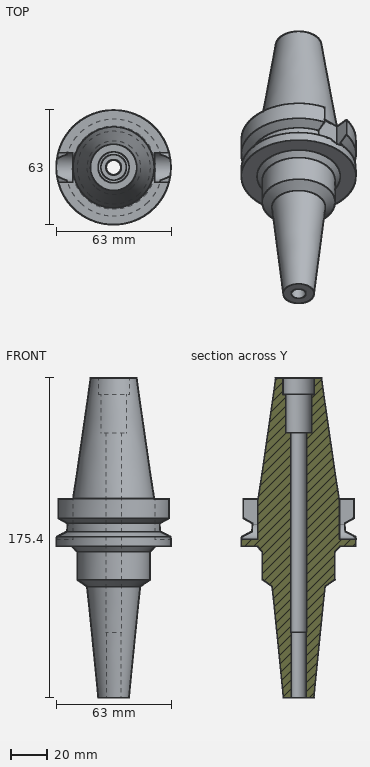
import cadquery as cq
import math


GAUGE_DIAMETER = 44.45
TAPER_LENGTH = 65.4
TAPER_RATIO = 7 / 24
TAPER_END_DIAMETER = GAUGE_DIAMETER - TAPER_RATIO * TAPER_LENGTH

FLANGE_DIAMETER = 63.0
FLANGE_TOP_Z = -1.0
FLANGE_BOTTOM_Z = -27.0

GROOVE_CENTRE_Z = -16.6
GROOVE_FLOOR_DIAMETER = 53.3
GROOVE_FLOOR_WIDTH = 4.5
GROOVE_FLANK_ANGLE = 30.0

SLOT_WIDTH = 16.1
SLOT_FLOOR_X = 22.5
SLOT_BOTTOM_Z = -23.0

COLLAR_DIAMETER = 40.0
COLLAR_ROOT_DIAMETER = 45.7
COLLAR_ROOT_CONE_HEIGHT = 3.0
COLLAR_BOTTOM_Z = -45.3
COLLAR_END_CONE_HEIGHT = 3.7

NOSE_ROOT_DIAMETER = 29.4
NOSE_TIP_DIAMETER = 17.0
NOSE_TIP_Z = -110.0

PILOT_BORE_DIAMETER = 17.0
PILOT_BORE_DEPTH = 9.0
THREAD_BORE_DIAMETER = 14.0
THREAD_BORE_DEPTH = 30.0
RELIEF_BORE_DIAMETER = 8.5
SHANK_BORE_DIAMETER = 8.0
SHANK_BORE_LENGTH = 36.0


def make_body():
    """Revolve the outer half-profile about the Z axis."""
    flange_radius = FLANGE_DIAMETER / 2
    groove_radius = GROOVE_FLOOR_DIAMETER / 2
    groove_depth = flange_radius - groove_radius
    floor_half_width = GROOVE_FLOOR_WIDTH / 2
    flank_height = groove_depth * math.tan(math.radians(GROOVE_FLANK_ANGLE))
    mouth_half_width = floor_half_width + flank_height
    collar_radius = COLLAR_DIAMETER / 2

    profile = [
        (0, TAPER_LENGTH),
        (TAPER_END_DIAMETER / 2, TAPER_LENGTH),
        (GAUGE_DIAMETER / 2, 0),
        (GAUGE_DIAMETER / 2, FLANGE_TOP_Z),
        (flange_radius, FLANGE_TOP_Z),
        (flange_radius, GROOVE_CENTRE_Z + mouth_half_width),
        (groove_radius, GROOVE_CENTRE_Z + floor_half_width),
        (groove_radius, GROOVE_CENTRE_Z - floor_half_width),
        (flange_radius, GROOVE_CENTRE_Z - mouth_half_width),
        (flange_radius, FLANGE_BOTTOM_Z),
        (COLLAR_ROOT_DIAMETER / 2, FLANGE_BOTTOM_Z),
        (collar_radius, FLANGE_BOTTOM_Z - COLLAR_ROOT_CONE_HEIGHT),
        (collar_radius, COLLAR_BOTTOM_Z),
        (NOSE_ROOT_DIAMETER / 2, COLLAR_BOTTOM_Z - COLLAR_END_CONE_HEIGHT),
        (NOSE_TIP_DIAMETER / 2, NOSE_TIP_Z),
        (0, NOSE_TIP_Z),
    ]
    return cq.Workplane("YZ").polyline(profile).close().revolve(360, (0, 0), (0, 1))


def make_drive_slot(side):
    """Round-bottomed slot cutter, open upward; side is -1 for -X or +1 for +X."""
    half_width = SLOT_WIDTH / 2
    arc_centre_z = SLOT_BOTTOM_Z + half_width
    cut_depth = FLANGE_DIAMETER / 2 - SLOT_FLOOR_X
    return (
        cq.Workplane("YZ", origin=(side * SLOT_FLOOR_X, 0, 0))
        .moveTo(-half_width, FLANGE_TOP_Z)
        .lineTo(-half_width, arc_centre_z)
        .threePointArc((0, SLOT_BOTTOM_Z), (half_width, arc_centre_z))
        .lineTo(half_width, FLANGE_TOP_Z)
        .close()
        .extrude(side * cut_depth)
    )


def make_bore(diameter, depth):
    """Cylinder running down the axis from the small end of the taper."""
    return cq.Workplane("XY", origin=(0, 0, TAPER_LENGTH)).circle(diameter / 2).extrude(-depth)


result = make_body()
for slot_side in (-1, 1):
    result = result.cut(make_drive_slot(slot_side))

overall_length = TAPER_LENGTH - NOSE_TIP_Z
bores = [
    (PILOT_BORE_DIAMETER, PILOT_BORE_DEPTH),
    (THREAD_BORE_DIAMETER, THREAD_BORE_DEPTH),
    (RELIEF_BORE_DIAMETER, overall_length - SHANK_BORE_LENGTH),
    (SHANK_BORE_DIAMETER, overall_length),
]
for bore_diameter, bore_depth in bores:
    result = result.cut(make_bore(bore_diameter, bore_depth))